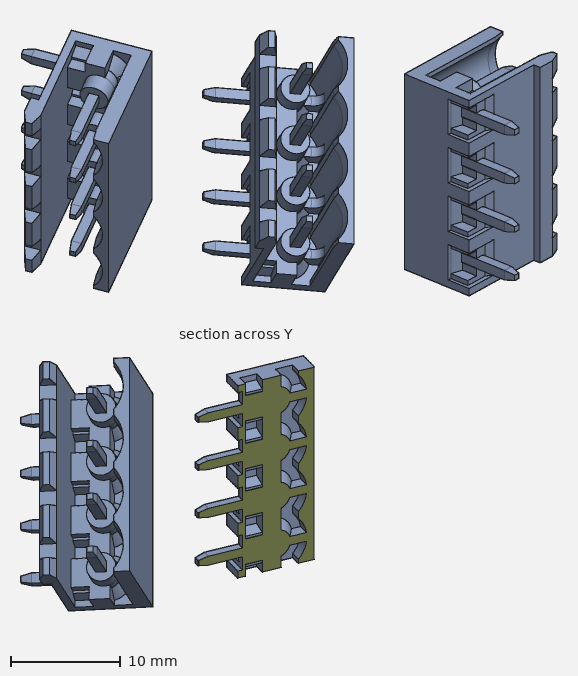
import cadquery as cq


poles = 4
pitch = 5.0
height = 20.2
first_pole = (height - (poles - 1) * pitch) / 2
pole_heights = [first_pole + i * pitch for i in range(poles)]

width = 7.78
length = 12.0
floor_depth = 1.11
latch_wall = 0.8
thick_wall_x = 6.15
rib_left = 2.5
rib_right = 4.42
rib_depth = 3.4
lead_in = 1.25
lead_in_depth = length - lead_in
thick_wall_relief = 0.16

hook_x = -0.77
hook_depth = 9.0
hook_tip_left = -0.22
hook_tip_right = 0.38
notch_half = 0.7
notch_mouth_half = 0.95

contact_x = 3.9
scallop_radius = 3.1
scallop_mouth_radius = scallop_radius + 0.2

collar_radius = 1.4
collar_end_radius = 1.35
collar_depth = 4.97
cone_radius = 2.18
support_depth = 2.42
support_width = 0.97
support_blend = 1.0

block_half = 1.35
block_step_depth = 2.26
block_step_half = 1.6
block_root_half = 1.95

pocket_half = 1.82
pocket_x = 0.46
pocket_start = 0.36
pocket_floor_end = 2.73
pocket_end = 3.5
hole_half = 1.31
hole_end = 1.55
hole_x = 2.15

pin_size = 0.99
pin_tip = 0.57
pin_taper = 1.03
contact_end = 10.8
solder_depth = 1.98
solder_tip_x = -4.02


def prism_along_z(points, low, high):
    """Extrude an outline of (x, depth) points between two heights."""
    outline = [(x, -depth) for x, depth in points]
    return cq.Workplane("XY").workplane(offset=low).polyline(outline).close().extrude(high - low)


def block(x0, x1, depth0, depth1, half, z):
    """Box spanning two X values and two depths, centred on height z."""
    return prism_along_z([(x0, depth0), (x1, depth0), (x1, depth1), (x0, depth1)], z - half, z + half)


def prism_along_x(points, x0, x1, z):
    """Extrude an outline of (depth, height above z) points between two X values."""
    outline = [(-depth, z + dz) for depth, dz in points]
    return cq.Workplane("YZ").workplane(offset=x0).polyline(outline).close().extrude(x1 - x0)


def round_along_y(z, radius0, radius1, depth0, depth1):
    """Cylinder or cone around the contact axis between two depths."""
    profile = [(0, -depth0), (radius0, -depth0), (radius1, -depth1), (0, -depth1)]
    solid = cq.Workplane("XY").polyline(profile).close().revolve(360, (0, 0, 0), (0, 1, 0))
    return solid.translate((contact_x, 0, z))


def square_pin(total):
    """Square pin along +Z from the origin with a tapered tip."""
    shaft = cq.Workplane("XY").rect(pin_size, pin_size).extrude(total - pin_taper)
    tip = (
        shaft.faces(">Z").workplane().rect(pin_size, pin_size)
        .workplane(offset=pin_taper).rect(pin_tip, pin_tip).loft(combine=False)
    )
    return shaft.union(tip)


def housing():
    return prism_along_z(
        [
            (0, 0),
            (width, 0),
            (width, length),
            (thick_wall_x + thick_wall_relief, length),
            (thick_wall_x, lead_in_depth),
            (thick_wall_x, floor_depth),
            (rib_right, floor_depth),
            (rib_right, rib_depth),
            (rib_left, rib_depth),
            (rib_left, floor_depth),
            (latch_wall, floor_depth),
            (latch_wall, lead_in_depth),
            (hook_tip_right, length),
            (hook_tip_left, length),
            (hook_x, lead_in_depth),
            (hook_x, hook_depth),
            (0, hook_depth),
        ],
        0,
        height,
    )


def plug_channel(z):
    """Scallop cut into the thick wall, flared at the mouth, to the right of the central rib."""
    bore = round_along_y(z, scallop_radius, scallop_radius, floor_depth, lead_in_depth)
    flare = round_along_y(z, scallop_radius, scallop_mouth_radius, lead_in_depth, length)
    return bore.union(flare).intersect(block(rib_right, width, 0, length, height, z))


def hook_notch(z):
    """Notch through the hook that widens towards the mouth."""
    outline = [
        (lead_in_depth, -notch_half),
        (lead_in_depth, notch_half),
        (length, notch_mouth_half),
        (length, -notch_mouth_half),
    ]
    return prism_along_x(outline, hook_x, latch_wall, z)


def contact_support(z):
    """Tapered collar and cone around the contact, plus a rib with a round blend into the scallop."""
    base = round_along_y(z, collar_radius, collar_radius, floor_depth, rib_depth)
    collar = round_along_y(z, collar_radius, collar_end_radius, rib_depth, collar_depth)
    cone = round_along_y(z, cone_radius, collar_radius, floor_depth, support_depth)
    right_side = block(rib_right, width, 0, length, height, z)
    blend_start = scallop_radius - support_blend
    ring = (
        cq.Workplane("XY")
        .moveTo(0, -floor_depth)
        .lineTo(0, -support_depth)
        .lineTo(blend_start, -support_depth)
        .radiusArc((scallop_radius, -support_depth - support_blend), support_blend)
        .lineTo(scallop_mouth_radius, -support_depth - support_blend)
        .lineTo(scallop_mouth_radius, -floor_depth)
        .close()
        .revolve(360, (0, 0, 0), (0, 1, 0))
        .translate((contact_x, 0, z))
    )
    rib = ring.intersect(block(contact_x, width, 0, length, support_width / 2, z))
    return base.union(collar).union(cone.intersect(right_side)).union(rib)


def solder_block(z):
    """Stepped block with a flared root, filling the gap beside the central rib."""
    upper = [
        (0, block_root_half),
        (floor_depth, block_root_half),
        (block_step_depth, block_step_half),
        (block_step_depth, block_half),
        (rib_depth, block_half),
    ]
    lower = [(depth, -dz) for depth, dz in reversed(upper)]
    return prism_along_x(upper + lower, latch_wall, rib_left, z)


def wall_recess(z):
    """Shallow pocket with a ramped end, a slot open at the back, and a deeper hole beside it."""
    pocket = prism_along_z(
        [(0, 0), (pocket_x, 0), (pocket_x, pocket_floor_end), (0, pocket_end)],
        z - pocket_half,
        z + pocket_half,
    )
    slot = block(0, rib_left, 0, pocket_start, pocket_half, z)
    hole = prism_along_z(
        [(0, pocket_start), (rib_left, pocket_start), (hole_x, hole_end), (0, hole_end)],
        z - hole_half,
        z + hole_half,
    )
    return pocket.union(slot).union(hole)


def contact_pin(z):
    pin = square_pin(contact_end - solder_depth).rotate((0, 0, 0), (1, 0, 0), 90)
    return pin.translate((contact_x, -solder_depth, z))


def solder_pin(z):
    pin = square_pin(contact_x - solder_tip_x).rotate((0, 0, 0), (0, 1, 0), -90)
    return pin.translate((contact_x, -solder_depth, z))


result = housing()
for z in pole_heights:
    result = result.cut(plug_channel(z)).cut(hook_notch(z))
for z in pole_heights:
    result = result.union(contact_support(z)).union(solder_block(z))
    result = result.cut(wall_recess(z))
    result = result.union(contact_pin(z)).union(solder_pin(z))